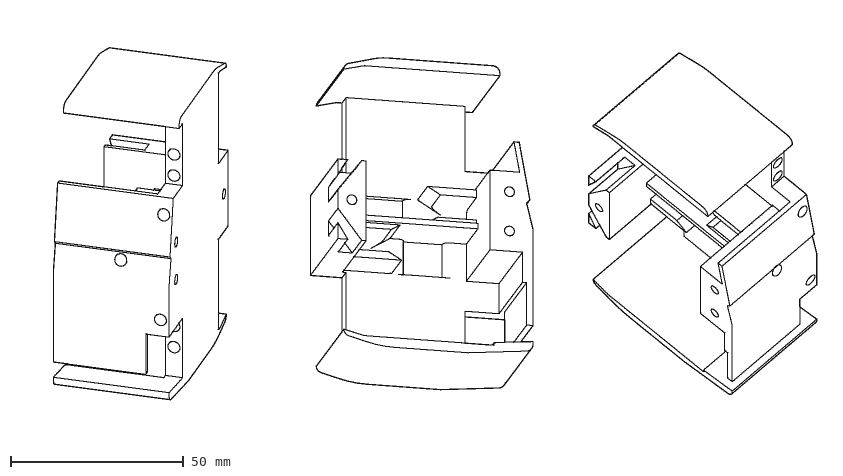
import cadquery as cq
import math

WIDTH = 35.0
DEPTH = 58.0
HEIGHT = 88.0

PANEL_THICKNESS = 5.2
PANEL_X = WIDTH - PANEL_THICKNESS
PANEL_FRONT = 13.2
PANEL_BACK = 48.6

FLANGE_THICKNESS = 2.9
FLANGE_OUTER_Z = HEIGHT / 2
FLANGE_INNER_Z = FLANGE_OUTER_Z - FLANGE_THICKNESS
FLANGE_BACK = 56.2
BACK_SLOPE = math.tan(math.radians(15))
OUTER_BEND_Y = 45.4
INNER_BEND_Y = 50.2
BACK_TIP_INNER_Z = 39.6
TOP_BEND_RADIUS = 16.7
BOTTOM_BEND_RADIUS = 33.4
FRONT_TIP_RADIUS = 2.3
BACK_TIP_RADIUS = 1.9
TOP_FLANGE_FRONT = 9.9
FRONT_SLOPE = math.tan(math.radians(6))
FRONT_BEND_Y = 19.4
PAD_BACK = 11.6
PAD_HEIGHT = 0.8

CORE_HALF_HEIGHT = 12.1
CORE_CENTRE_Y = 31.2
CORE_HALF_DEPTH = 18.4
BLOCK_BACK = CORE_CENTRE_Y - CORE_HALF_DEPTH
WALL_HALF_HEIGHT = 21.3
WALL_TOP_Y = 4.1
WALL_TOP_THICKNESS = 1.6
GROOVE_TOP = (1.0, 4.0)
GROOVE_BOTTOM = (1.9, 3.0)
WALL_KNEE_Z = -5.1
WALL_LOWER_THICKNESS = 3.2
SKIRT_BOTTOM = -34.2
SKIRT_THICKNESS = 1.9
SKIRT_WIDTH = 28.0

ARM_FRONT = CORE_CENTRE_Y + CORE_HALF_DEPTH
SLOT_LENGTH = 12.0
SLOT_OUTER_TOP_Y = 55.1
SLOT_INNER_TOP_Y = 50.95
SLOT_OUTER_BACK_Z = 7.3
SLOT_INNER_BACK_Z = 2.9

SHELF_THICKNESS = 1.7
SHELF_X = 15.3
BAY_BOTTOM = SHELF_THICKNESS / 2
BAY_TOP = 11.5
RAIL_X = 17.0
UPPER_RAIL_TIP_Y = 27.4
LOWER_RAIL_TIP_Y = 26.9
RAIL_BEVEL = math.tan(math.radians(31))
LOWER_RAIL_TOP = 2.4
UPPER_RAIL_BOTTOM = 9.2
RAIL_FILLET = 1.85
RECESS_FRONT = 29.5
RECESS_BACK = 44.7
RECESS_DEPTH = 2.2
RECESS_LIP_RADIUS = 1.85

SCREW_DIAMETER = 3.6
SCREW_DEPTH = 10.0
PANEL_SCREW_X = PANEL_X + PANEL_THICKNESS / 2
PANEL_SCREW_HEIGHTS = (30.9, 24.1)
WALL_SCREW_HEIGHT = 16.1
BLOCK_SCREW_X = 20.0
BLOCK_SCREW_Z = 0.7
PIN_DIAMETER = 2.9
BLOCK_PIN_Y = 7.0
BLOCK_PIN_HEIGHT = 6.0
ARM_PIN_Y = 53.9


def extrude_x(points, start, end):
    """Extrude a closed (y, z) outline along X from start to end."""
    outline = cq.Workplane("YZ", origin=(start, 0, 0)).polyline(points).close()
    return outline.extrude(end - start)


def box(x_range, y_range, z_range):
    """Box given by its limits along each axis."""
    (x0, x1), (y0, y1), (z0, z1) = x_range, y_range, z_range
    return cq.Workplane("XY").box(x1 - x0, y1 - y0, z1 - z0, centered=False).translate((x0, y0, z0))


def round_edge(body, point, radius):
    """Fillet the X-direction edge that runs through the (y, z) point."""
    nearest = cq.selectors.NearestToPointSelector((WIDTH / 2, *point))
    return body.edges("|X").edges(nearest).fillet(radius)


def flange(front_points, front_corner, bend_radius):
    """Top-side flange: front outline from inner to outer face, then the drooping back lip."""
    back_outer = (FLANGE_BACK, FLANGE_OUTER_Z - BACK_SLOPE * (FLANGE_BACK - OUTER_BEND_Y))
    back_inner = (FLANGE_BACK, BACK_TIP_INNER_Z)
    outer_bend = (OUTER_BEND_Y, FLANGE_OUTER_Z)
    points = [*front_points, outer_bend, back_outer, back_inner, (INNER_BEND_Y, FLANGE_INNER_Z)]
    body = extrude_x(points, 0, WIDTH)
    body = round_edge(body, outer_bend, bend_radius)
    body = round_edge(body, back_outer, BACK_TIP_RADIUS)
    return round_edge(body, front_corner, FRONT_TIP_RADIUS)


def top_flange():
    corner = (TOP_FLANGE_FRONT, FLANGE_OUTER_Z)
    return flange([(TOP_FLANGE_FRONT, FLANGE_INNER_Z), corner], corner, TOP_BEND_RADIUS)


def bottom_flange():
    """Mirrored flange whose front is padded and slopes up to the front tip."""
    pad_z = FLANGE_INNER_Z - PAD_HEIGHT
    corner = (0, FLANGE_OUTER_Z - FRONT_SLOPE * FRONT_BEND_Y)
    front = [
        (PAD_BACK, FLANGE_INNER_Z),
        (PAD_BACK, pad_z),
        (0, pad_z - FRONT_SLOPE * PAD_BACK),
        corner,
        (FRONT_BEND_Y, FLANGE_OUTER_Z),
    ]
    return flange(front, corner, BOTTOM_BEND_RADIUS).mirror("XY")


def side_panel():
    plate = box((PANEL_X, WIDTH), (PANEL_FRONT, PANEL_BACK), (-FLANGE_INNER_Z, FLANGE_INNER_Z))
    foot = box(
        (PANEL_X, WIDTH),
        (PAD_BACK, PANEL_FRONT),
        (-FLANGE_INNER_Z, -FLANGE_INNER_Z + PAD_HEIGHT),
    )
    return plate.union(foot)


def front_wall():
    """Grooved front wall with its skirt, the panel's front extension and the solid block."""
    wall_front = [
        (WALL_TOP_Y, WALL_HALF_HEIGHT),
        GROOVE_TOP,
        GROOVE_BOTTOM,
        (0, WALL_KNEE_Z),
        (0, -WALL_HALF_HEIGHT),
    ]
    side = [*wall_front, (PANEL_FRONT, -WALL_HALF_HEIGHT), (PANEL_FRONT, WALL_HALF_HEIGHT)]
    lean = (WALL_TOP_Y - GROOVE_TOP[0]) / (WALL_HALF_HEIGHT - GROOVE_TOP[1])
    wall_inner_top = WALL_TOP_Y + WALL_TOP_THICKNESS
    wall_inner_core = wall_inner_top - lean * (WALL_HALF_HEIGHT - CORE_HALF_HEIGHT)
    wall_and_block = [
        *wall_front,
        (WALL_LOWER_THICKNESS, -WALL_HALF_HEIGHT),
        (WALL_LOWER_THICKNESS, -CORE_HALF_HEIGHT),
        (BLOCK_BACK, -CORE_HALF_HEIGHT),
        (BLOCK_BACK, CORE_HALF_HEIGHT),
        (wall_inner_core, CORE_HALF_HEIGHT),
        (wall_inner_top, WALL_HALF_HEIGHT),
    ]
    skirt = box((0, SKIRT_WIDTH), (0, SKIRT_THICKNESS), (SKIRT_BOTTOM, -WALL_HALF_HEIGHT))
    return extrude_x(side, PANEL_X, WIDTH).union(extrude_x(wall_and_block, 0, WIDTH)).union(skirt)


def rear_arm():
    """Arm along X, joined to the panel, with a diagonal slot across each back corner."""
    core_z = (-CORE_HALF_HEIGHT, CORE_HALF_HEIGHT)
    arm = box((0, WIDTH), (ARM_FRONT, DEPTH), core_z)
    root = box((PANEL_X, WIDTH), (PANEL_BACK, ARM_FRONT), core_z)
    slot = extrude_x(
        [
            (SLOT_OUTER_TOP_Y, CORE_HALF_HEIGHT),
            (SLOT_INNER_TOP_Y, CORE_HALF_HEIGHT),
            (DEPTH, SLOT_INNER_BACK_Z),
            (DEPTH, SLOT_OUTER_BACK_Z),
        ],
        0,
        SLOT_LENGTH,
    )
    return arm.union(root).cut(slot).cut(slot.mirror("XY"))


def rails():
    """Two rails at the block's back face, beveled at the tip, with a filleted gap between them."""
    gap_bottom = LOWER_RAIL_TOP + RAIL_FILLET
    gap_top = UPPER_RAIL_BOTTOM - RAIL_FILLET
    lower = [
        (BLOCK_BACK, BAY_BOTTOM),
        (LOWER_RAIL_TIP_Y, BAY_BOTTOM),
        (LOWER_RAIL_TIP_Y - (gap_bottom - BAY_BOTTOM) / RAIL_BEVEL, gap_bottom),
        (BLOCK_BACK, gap_bottom),
    ]
    upper = [
        (BLOCK_BACK, BAY_TOP),
        (UPPER_RAIL_TIP_Y, BAY_TOP),
        (UPPER_RAIL_TIP_Y - (BAY_TOP - gap_top) / RAIL_BEVEL, gap_top),
        (BLOCK_BACK, gap_top),
    ]
    solid_rails = extrude_x(lower, RAIL_X, PANEL_X).union(extrude_x(upper, RAIL_X, PANEL_X))
    gap = box((0, PANEL_X), (BLOCK_BACK, UPPER_RAIL_TIP_Y), (LOWER_RAIL_TOP, UPPER_RAIL_BOTTOM))
    return solid_rails.cut(gap.edges("|Y and >X").fillet(RAIL_FILLET))


def recess():
    """Cutter for the panel recess, flared at both ends so that its lips are round."""
    reach = RECESS_LIP_RADIUS
    mid_y = (RECESS_FRONT + RECESS_BACK) / 2
    floor_x = PANEL_X + RECESS_DEPTH
    lip_x = PANEL_X + reach
    arc_offset = reach * math.sqrt(0.5)
    outline = (
        cq.Workplane("XY", origin=(0, 0, BAY_BOTTOM))
        .moveTo(PANEL_X, RECESS_FRONT)
        .threePointArc(
            (lip_x - arc_offset, RECESS_FRONT + arc_offset),
            (lip_x, RECESS_FRONT + reach),
        )
        .lineTo(floor_x, RECESS_FRONT + reach)
        .lineTo(floor_x, mid_y)
        .lineTo(PANEL_X, mid_y)
        .close()
    )
    half = outline.extrude(BAY_TOP - BAY_BOTTOM)
    return half.union(half.mirror("XZ", (0, mid_y, 0)))


def turned(bay_feature):
    """The same bay feature for the lower bay, turned half around the core's X axis."""
    return bay_feature.rotate((0, CORE_CENTRE_Y, 0), (1, CORE_CENTRE_Y, 0), 180)


def screw_hole(x, z, start_y, depth):
    """Blind hole along +Y."""
    plane = cq.Plane(origin=(x, start_y, z), xDir=(1, 0, 0), normal=(0, 1, 0))
    return cq.Workplane(plane).circle(SCREW_DIAMETER / 2).extrude(depth)


def pin_hole(y, z):
    """Hole along X through the whole width."""
    return cq.Workplane("YZ").center(y, z).circle(PIN_DIAMETER / 2).extrude(WIDTH)


shelf = box((SHELF_X, PANEL_X), (BLOCK_BACK, ARM_FRONT), (-BAY_BOTTOM, BAY_BOTTOM))

result = side_panel()
for piece in (top_flange(), bottom_flange(), front_wall(), rear_arm(), shelf, rails(), turned(rails())):
    result = result.union(piece)

for cutter in (recess(), turned(recess())):
    result = result.cut(cutter)

for side in (1, -1):
    for height in PANEL_SCREW_HEIGHTS:
        result = result.cut(screw_hole(PANEL_SCREW_X, side * height, PANEL_FRONT, SCREW_DEPTH))
    result = result.cut(screw_hole(PANEL_SCREW_X, side * WALL_SCREW_HEIGHT, 0, SCREW_DEPTH))
    result = result.cut(pin_hole(BLOCK_PIN_Y, side * BLOCK_PIN_HEIGHT))
result = result.cut(screw_hole(BLOCK_SCREW_X, BLOCK_SCREW_Z, 0, SCREW_DEPTH))
result = result.cut(pin_hole(ARM_PIN_Y, 0))